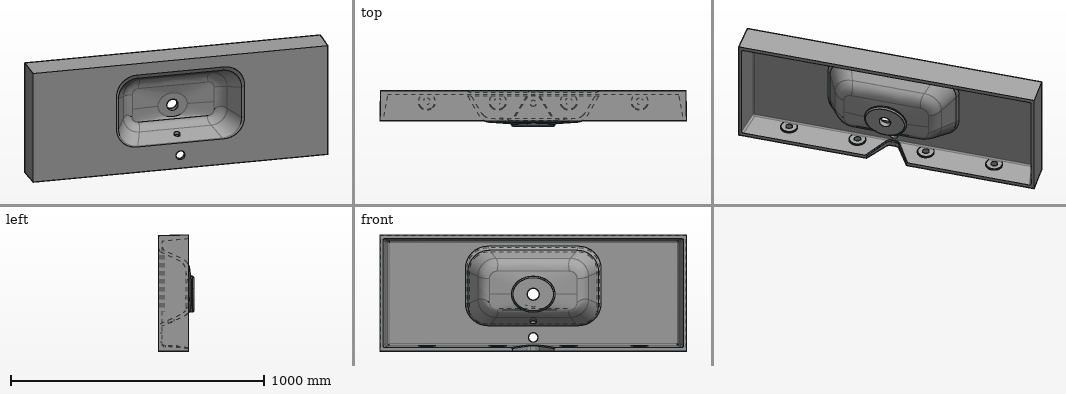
import cadquery as cq
import math


WIDTH = 1210.0
HEIGHT = 460.0
TRAY_DEPTH = 120.0
FLOOR_THICKNESS = 15.0
SIDE_DRAFT = 2.0
TOP_DRAFT = 3.0
RIM_SIDE_WALL = 12.0
RIM_TOP_WALL = 15.0
ROOT_SIDE_WALL = 31.0
ROOT_TOP_WALL = 25.0
TRAY_CORNER_RADIUS = 8.0
TRAY_ROOT_RADIUS = 6.0

BOWL_FOOT = (268.0, 185.0, -129.0, 90.0)
BOWL_WALL_START = (258.0, 169.0, -128.0, 85.0)
BOWL_SHOULDER = (218.0, 137.0, -96.0, 71.0)
BOWL_BASE = (173.0, 86.5, -67.0, 30.0)
FOOT_Y = -FLOOR_THICKNESS
WALL_START_Y = -22.0
SHOULDER_Y = -92.0
BASE_Y = -125.0
SHOULDER_STEPS = 4
BOWL_WALL = 6.0

DRAIN_Z = -4.5
DRAIN_DIAMETER = 46.0
FLANGE_HALF_WIDTH = 86.0
FLANGE_HALF_HEIGHT = 71.0
FLANGE_FACE_Y = -142.0
FLANGE_ROOT_Y = -120.0
FLANGE_CHAMFER = 6.0
CONE_TIP_Y = -133.0
CONE_TIP_SCALE = 0.7
CONE_INSET = 0.2
CONE_SAMPLES = 40

TAP_DIAMETER = 36.0
TAP_Z = -175.0
OVERFLOW_DIAMETER = 24.0
OVERFLOW_Y = -50.0
OVERFLOW_START_Z = -140.0
OVERFLOW_END_Z = -85.0

PAD_POSITIONS = (-420.0, -140.0, 140.0, 420.0)
PAD_RADIUS = 35.0
PAD_CHAMFER = 3.0
PAD_Y = -42.0
PAD_TOP_Z = -206.0
PAD_HOLE_DIAMETER = 26.0

NOTCH_RIM_HALF_WIDTH = 82.0
NOTCH_END_HALF_WIDTH = 20.0
NOTCH_END_Y = -20.0
NOTCH_RADIUS = 18.0
NOTCH_CHAMFER = 4.0
CHAMFER_ANGLE = 45.0
CHAMFER_OVERCUT = 1.0

BLANK_THICKNESS = 1.0


def plane_at(y):
    """Plane facing -Y at the given Y: local x is X, local y is Z."""
    return cq.Workplane("XZ", origin=(0, y, 0))


def rectangle_wire(y, half_width, top, bottom):
    middle = (top + bottom) / 2
    return plane_at(y).center(0, middle).rect(2 * half_width, top - bottom).wires().val()


def rounded_wire(y, outline):
    half_width, top, bottom, radius = outline
    middle = (top + bottom) / 2
    block = plane_at(y).center(0, middle).rect(2 * half_width, top - bottom).extrude(BLANK_THICKNESS)
    return block.edges("|Y").fillet(radius).faces(">Y").wires().val()


def loft(wires, ruled=True):
    return cq.Workplane(cq.Solid.makeLoft(wires, ruled))


def make_tray():
    half_width = WIDTH / 2
    half_height = HEIGHT / 2
    block = loft([
        rectangle_wire(0, half_width - SIDE_DRAFT, half_height - TOP_DRAFT, -half_height),
        rectangle_wire(-TRAY_DEPTH, half_width, half_height, -half_height),
    ])
    root_z = half_height - ROOT_TOP_WALL
    rim_z = half_height - RIM_TOP_WALL
    pocket = loft([
        rectangle_wire(-FLOOR_THICKNESS, half_width - ROOT_SIDE_WALL, root_z, -root_z),
        rectangle_wire(-TRAY_DEPTH, half_width - RIM_SIDE_WALL, rim_z, -rim_z),
    ])
    pocket = pocket.edges("not(|X or |Z)").fillet(TRAY_CORNER_RADIUS)
    pocket = pocket.faces(">Y").edges().fillet(TRAY_ROOT_RADIUS)
    return block.cut(pocket)


def inset_outline(outline, inset):
    half_width, top, bottom, radius = outline
    return (half_width - inset, top - inset, bottom + inset, radius - inset)


def shoulder_section(t):
    """Y and outline on the rounded shoulder, a parabola tangent to the wall (t = 0) and base (t = 1)."""
    reach = (BASE_Y - SHOULDER_Y) / (SHOULDER_Y - WALL_START_Y)
    outline = []
    for start, ridge, base in zip(BOWL_WALL_START, BOWL_SHOULDER, BOWL_BASE):
        corner = ridge + (ridge - start) * reach
        outline.append((1 - t) ** 2 * ridge + 2 * t * (1 - t) * corner + t ** 2 * base)
    y = (1 - t) ** 2 * SHOULDER_Y + (1 - (1 - t) ** 2) * BASE_Y
    return y, outline


def half_base_edge(outline, y, side):
    """Smooth edge along the part of the outline above (side = 1) or below (side = -1) the drain."""
    half_width, top, bottom, radius = outline
    far_z = top if side > 0 else bottom
    near_far_z = far_z - side * radius
    flat_half = half_width - radius
    path = (
        plane_at(y)
        .moveTo(half_width, DRAIN_Z)
        .lineTo(half_width, near_far_z)
        .radiusArc((flat_half, far_z), -side * radius)
        .lineTo(-flat_half, far_z)
        .radiusArc((-half_width, near_far_z), -side * radius)
        .lineTo(-half_width, DRAIN_Z)
        .wire().val()
    )
    return cq.Edge.makeSpline([path.positionAt(i / CONE_SAMPLES) for i in range(CONE_SAMPLES + 1)])


def half_tip_edge(y, side):
    half_width = FLANGE_HALF_WIDTH * CONE_TIP_SCALE
    half_height = FLANGE_HALF_HEIGHT * CONE_TIP_SCALE
    points = []
    for i in range(CONE_SAMPLES + 1):
        angle = math.pi * i / CONE_SAMPLES
        z = DRAIN_Z + side * half_height * math.sin(angle)
        points.append(cq.Vector(half_width * math.cos(angle), y, z))
    return cq.Edge.makeSpline(points)


def make_cone(outline, shift):
    """Shallow cone from the bowl base to the drain, in two faces that meet at the drain's height."""
    base_y = BASE_Y + shift
    tip_y = CONE_TIP_Y + shift
    base = cq.Wire.assembleEdges([half_base_edge(outline, base_y, side) for side in (1, -1)])
    tip = cq.Wire.assembleEdges([half_tip_edge(tip_y, side) for side in (1, -1)])
    return loft([base, tip])


def make_bowl(inset, shift):
    """Solid bowl form, inset in its own plane and shifted along +Y."""
    def section(y, outline):
        return rounded_wire(y + shift, inset_outline(outline, inset))

    foot = section(FOOT_Y, BOWL_FOOT)
    wall_start = section(WALL_START_Y, BOWL_WALL_START)
    wall_end = section(SHOULDER_Y, BOWL_SHOULDER)
    shoulder = [section(*shoulder_section(step / SHOULDER_STEPS)) for step in range(SHOULDER_STEPS + 1)]
    bowl = loft([foot, wall_start, wall_end])
    bowl = bowl.union(loft(shoulder, ruled=False))
    return bowl.union(make_cone(inset_outline(BOWL_BASE, inset + CONE_INSET), shift))


def make_flange():
    return (
        plane_at(FLANGE_ROOT_Y)
        .center(0, DRAIN_Z)
        .ellipse(FLANGE_HALF_WIDTH, FLANGE_HALF_HEIGHT)
        .extrude(FLANGE_ROOT_Y - FLANGE_FACE_Y)
        .faces("<Y").chamfer(FLANGE_CHAMFER)
    )


def hole_through_y(z, diameter):
    return plane_at(0).center(0, z).circle(diameter / 2).extrude(-FLANGE_FACE_Y)


def upright_cylinder(x, y, bottom, top, diameter):
    return cq.Workplane("XY", origin=(x, y, bottom)).circle(diameter / 2).extrude(top - bottom)


def notch_outline():
    points = [
        (-NOTCH_RIM_HALF_WIDTH, -TRAY_DEPTH),
        (-NOTCH_END_HALF_WIDTH, NOTCH_END_Y),
        (NOTCH_END_HALF_WIDTH, NOTCH_END_Y),
        (NOTCH_RIM_HALF_WIDTH, -TRAY_DEPTH),
        (-NOTCH_RIM_HALF_WIDTH, -TRAY_DEPTH),
    ]
    return cq.Sketch().polygon(points).vertices(">Y").fillet(NOTCH_RADIUS)


def make_notch():
    """Upright notch through the -Z wall, plus a flared cutter that follows the sloping inner wall."""
    outline = notch_outline()
    notch = cq.Workplane("XY", origin=(0, 0, -HEIGHT / 2)).placeSketch(outline).extrude(ROOT_TOP_WALL)
    slope = (ROOT_TOP_WALL - RIM_TOP_WALL) / (TRAY_DEPTH - FLOOR_THICKNESS)
    wall_z = -HEIGHT / 2 + RIM_TOP_WALL + slope * TRAY_DEPTH
    wall_plane = cq.Plane(origin=(0, 0, wall_z - NOTCH_CHAMFER), xDir=(1, 0, 0), normal=(0, -slope, 1))
    flare_depth = NOTCH_CHAMFER + CHAMFER_OVERCUT
    flare = cq.Workplane(wall_plane).placeSketch(outline).extrude(flare_depth, taper=-CHAMFER_ANGLE)
    return notch.union(flare)


def make_pad(x):
    pad = upright_cylinder(x, PAD_Y, -HEIGHT / 2, PAD_TOP_Z, 2 * PAD_RADIUS)
    return pad.faces(">Z").chamfer(PAD_CHAMFER)


result = make_tray().cut(make_notch()).union(make_bowl(0, 0)).union(make_flange())
for pad_x in PAD_POSITIONS:
    result = result.union(make_pad(pad_x))
    result = result.cut(upright_cylinder(pad_x, PAD_Y, -HEIGHT / 2, PAD_TOP_Z, PAD_HOLE_DIAMETER))

result = (
    result
    .cut(make_bowl(BOWL_WALL, FLOOR_THICKNESS))
    .cut(hole_through_y(DRAIN_Z, DRAIN_DIAMETER))
    .cut(hole_through_y(TAP_Z, TAP_DIAMETER))
    .cut(upright_cylinder(0, OVERFLOW_Y, OVERFLOW_START_Z, OVERFLOW_END_Z, OVERFLOW_DIAMETER))
    .solids()
)